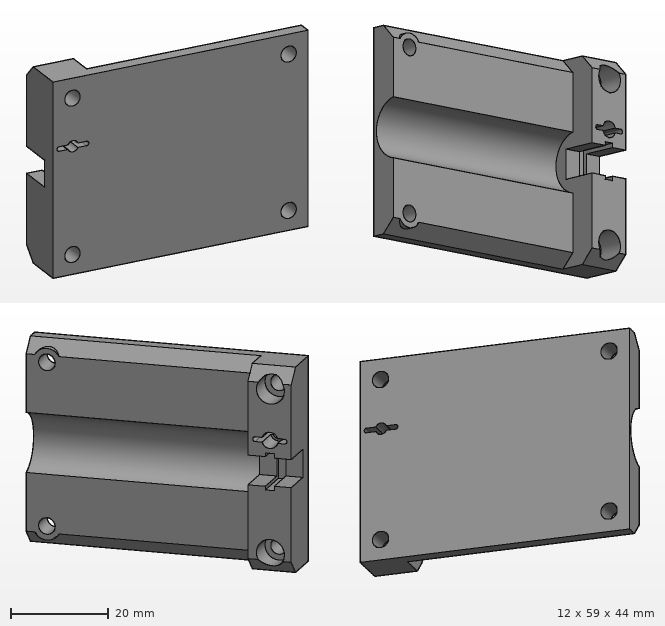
import cadquery as cq

length = 59.0
height = 44.0
block_thickness = 12.0
block_length = 9.3
plate_thickness = 6.0
chamfer = 3.0
plate_face = block_thickness - plate_thickness

screw_inset = 4.5
screw_diameter = 3.55
seat_diameter = 6.0

trough_width = 12.85
trough_depth = 5.2

channel_height = 6.0
channel_depth = 8.0
inner_channel_height = 6.4
groove_y = 4.6
groove_width = 1.95
groove_height = 7.9
groove_depth = 9.0

keyhole_z = 6.7
keyhole_diameter = 2.5
keyhole_counterbore_diameter = 3.5
slot_length = 7.4
slot_width = 1.0


def profile_bar(face_x, y_start, y_end):
    """Bar along Y from face_x to the back, chamfered along both front edges."""
    half = height / 2
    return (
        cq.Workplane("XZ", origin=(0, y_start, 0))
        .moveTo(block_thickness, -half)
        .lineTo(face_x + chamfer, -half)
        .lineTo(face_x, -half + chamfer)
        .lineTo(face_x, half - chamfer)
        .lineTo(face_x + chamfer, half)
        .lineTo(block_thickness, half)
        .close()
        .extrude(-(y_end - y_start))
    )


def cylinder(diameter, y, z, x_start, depth):
    """Cylinder along +X."""
    return cq.Workplane("YZ", origin=(x_start, y, z)).circle(diameter / 2).extrude(depth)


def slab(depth, y_start, y_end, cut_height):
    """Rectangular cutter reaching in from the block face, centred on Z = 0."""
    block = cq.Workplane("XY", origin=(0, y_start, 0))
    return block.box(depth, y_end - y_start, cut_height, centered=(False, False, True))


body = profile_bar(0, 0, block_length).union(profile_bar(plate_face, block_length, length))

trough = (
    cq.Workplane("XZ", origin=(0, block_length, 0))
    .moveTo(plate_face, -trough_width / 2)
    .threePointArc((plate_face + trough_depth, 0), (plate_face, trough_width / 2))
    .close()
    .extrude(-(length - block_length))
)
body = body.cut(trough)

groove_start = groove_y - groove_width / 2
groove_end = groove_y + groove_width / 2
body = body.cut(slab(channel_depth, 0, groove_y, channel_height))
body = body.cut(slab(channel_depth, groove_y, block_length, inner_channel_height))
body = body.cut(slab(groove_depth, groove_start, groove_end, groove_height))

screw_z = height / 2 - screw_inset
for z in (-screw_z, screw_z):
    body = body.union(cylinder(seat_diameter, length - screw_inset, z, plate_face, plate_thickness))
    body = body.cut(cylinder(seat_diameter, screw_inset, z, 0, plate_face))
    for y in (screw_inset, length - screw_inset):
        body = body.cut(cylinder(screw_diameter, y, z, 0, block_thickness))

slot = (
    cq.Workplane("YZ", origin=(0, groove_y, keyhole_z))
    .slot2D(slot_length, slot_width)
    .extrude(block_thickness)
)
body = body.cut(slot)
body = body.cut(cylinder(keyhole_diameter, groove_y, keyhole_z, 0, block_thickness))
body = body.cut(cylinder(keyhole_counterbore_diameter, groove_y, keyhole_z, 0, plate_face))

result = body